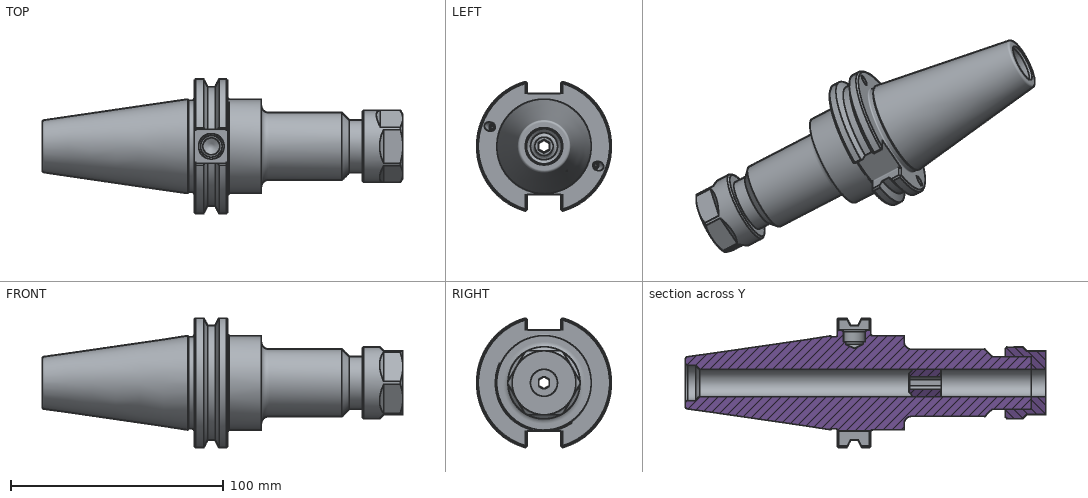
import cadquery as cq
import math


gauge_x = 68.5
gauge_radius = 22.3
taper_ratio = 7 / 24
tail_radius = gauge_radius - gauge_x * taper_ratio / 2
tail_fillet = 1.2
relief_chamfer = 0.5
relief_radius = gauge_radius - relief_chamfer
relief_start_x = gauge_x + relief_chamfer
root_fillet = 0.7

flange_front_x = 71.5
flange_back_x = 87.5
flange_radius = 31.8
flange_chamfer = 0.8
groove_center_x = 79.7
groove_floor_radius = 28.2
groove_floor_width = 3.5
groove_wall_run = 1.9

slot_width = 16.0
slot_chamfer = 0.8
slot_floor_fillet = 0.5
top_slot_floor = 25.0
bottom_slot_floor = 22.8

chip_diameter = 10.2
chip_depth = 5.6
chip_rim_diameter = 12.0
chip_drill_diameter = 8.0
chip_drill_depth = 6.8
drill_half_angle = 65

collar_radius = gauge_radius
collar_end_x = 103.3
barrel_radius = 16.0
barrel_fillet = 3.2
barrel_end_x = 141.2
nose_diameter = 25.0
nose_radius = nose_diameter / 2
nose_chamfer = barrel_radius - nose_radius
nose_end_x = 163.0

mouth_radius = 8.8
recess_diameter = 16.5
recess_radius = recess_diameter / 2
mouth_chamfer_depth = 1.2
recess_depth = 5.0
bore_diameter = 12.7
bore_radius = bore_diameter / 2
bore_start_x = 6.8

stop_start_x = 105.3
stop_length = 15.3
stop_shoulder_diameter = 10.7
stop_tip_diameter = 8.7
stop_shoulder_run = 0.5
stop_socket_width = 5.0
stop_socket_chamfer = 0.3

plug_circle_radius = 27.2
plug_angles = (20, 200)
plug_slant = 35
plug_diameter = 4.2
plug_recess = 2.2
plug_length = 6.0
plug_chamfer = 0.5
plug_socket_width = 2.0
plug_socket_depth = 2.5

nut_start_x = 150.7
nut_end_x = 169.9
nut_radius = 17.0
nut_back_chamfer = 0.8
nut_end_chamfer_depth = 1.2
flat_count = 6
hex_width = 30.0
hex_start_x = 160.9
long_flat_start_x = 159.3
long_flat_angle = -360 / flat_count
hex_runout = 2.0


def revolve_about_x(profile):
    """Turn a closed (x, radius) outline about the X axis."""
    return profile.close().revolve(360, (0, 0, 0), (1, 0, 0))


def hexagon_diameter(width_across_flats):
    return width_across_flats / math.cos(math.radians(30))


def plug_plane(angle):
    """Plane at a plug hole's mouth whose normal points down the slanted hole."""
    turn = math.radians(angle)
    slant = math.radians(plug_slant)
    outward = (math.cos(turn), math.sin(turn))
    origin = (flange_front_x, plug_circle_radius * outward[0], plug_circle_radius * outward[1])
    normal = (math.cos(slant), -math.sin(slant) * outward[0], -math.sin(slant) * outward[1])
    along_flange = (0, -outward[1], outward[0])
    return cq.Plane(origin=origin, xDir=along_flange, normal=normal)


def make_turned_body():
    """Solid outside shape of the holder, before any hole or slot."""
    half_floor = groove_floor_width / 2
    half_opening = half_floor + groove_wall_run
    fillet_mid = barrel_fillet * (1 - math.sqrt(0.5))
    root_mid = root_fillet * (1 - math.sqrt(0.5))
    taper = revolve_about_x(
        cq.Workplane("XY")
        .moveTo(0, 0)
        .lineTo(0, tail_radius)
        .lineTo(gauge_x, gauge_radius)
        .lineTo(gauge_x, 0)
    ).faces("<X").edges().fillet(tail_fillet)
    rest = revolve_about_x(
        cq.Workplane("XY")
        .moveTo(gauge_x, 0)
        .lineTo(gauge_x, gauge_radius)
        .lineTo(relief_start_x, relief_radius)
        .lineTo(flange_front_x - root_fillet, relief_radius)
        .threePointArc(
            (flange_front_x - root_mid, relief_radius + root_mid),
            (flange_front_x, relief_radius + root_fillet),
        )
        .lineTo(flange_front_x, flange_radius - flange_chamfer)
        .lineTo(flange_front_x + flange_chamfer, flange_radius)
        .lineTo(groove_center_x - half_opening, flange_radius)
        .lineTo(groove_center_x - half_floor, groove_floor_radius)
        .lineTo(groove_center_x + half_floor, groove_floor_radius)
        .lineTo(groove_center_x + half_opening, flange_radius)
        .lineTo(flange_back_x - flange_chamfer, flange_radius)
        .lineTo(flange_back_x, flange_radius - flange_chamfer)
        .lineTo(flange_back_x, collar_radius + root_fillet)
        .threePointArc(
            (flange_back_x + root_mid, collar_radius + root_mid),
            (flange_back_x + root_fillet, collar_radius),
        )
        .lineTo(collar_end_x, collar_radius)
        .lineTo(collar_end_x, barrel_radius + barrel_fillet)
        .threePointArc(
            (collar_end_x + fillet_mid, barrel_radius + fillet_mid),
            (collar_end_x + barrel_fillet, barrel_radius),
        )
        .lineTo(barrel_end_x, barrel_radius)
        .lineTo(barrel_end_x + nose_chamfer, nose_radius)
        .lineTo(nose_end_x, nose_radius)
        .lineTo(nose_end_x, 0)
    )
    return taper.union(rest)


def make_bore():
    return revolve_about_x(
        cq.Workplane("XY")
        .moveTo(0, 0)
        .lineTo(0, mouth_radius)
        .lineTo(mouth_chamfer_depth, recess_radius)
        .lineTo(recess_depth, recess_radius)
        .lineTo(bore_start_x, bore_radius)
        .lineTo(nose_end_x, bore_radius)
        .lineTo(nose_end_x, 0)
    )


def make_slot_cutter(floor_height, side):
    """Slot open away from the axis; side is +1 for the +Z slot and -1 for the -Z slot."""
    slot_length = flange_back_x - flange_front_x
    slot_height = flange_radius - floor_height
    middle_x = (flange_front_x + flange_back_x) / 2
    slot = cq.Workplane("XY").box(slot_length, slot_width, slot_height)
    floor_side = "<Z" if side > 0 else ">Z"
    slot = slot.faces(floor_side).edges("|X").fillet(slot_floor_fillet)
    slot = slot.translate((middle_x, 0, side * (floor_height + slot_height / 2)))
    half = slot_width / 2
    wide = half + slot_chamfer
    for face_x, inward in ((flange_front_x, 1), (flange_back_x, -1)):
        end_bevel = (
            cq.Workplane("XY")
            .workplane(offset=side * floor_height)
            .moveTo(face_x, -wide)
            .lineTo(face_x + inward * slot_chamfer, -half)
            .lineTo(face_x + inward * slot_chamfer, half)
            .lineTo(face_x, wide)
            .close()
            .extrude(side * slot_height)
        )
        slot = slot.union(end_bevel)
    rim_height = math.sqrt(flange_radius**2 - wide**2)
    rim_bevels = (
        cq.Workplane("YZ")
        .workplane(offset=flange_front_x)
        .moveTo(-half, side * (rim_height - slot_chamfer))
        .lineTo(-wide, side * rim_height)
        .lineTo(-wide, side * flange_radius)
        .lineTo(wide, side * flange_radius)
        .lineTo(wide, side * rim_height)
        .lineTo(half, side * (rim_height - slot_chamfer))
        .close()
        .extrude(slot_length)
    )
    return slot.union(rim_bevels)


def make_chip_hole():
    rim = chip_rim_diameter / 2
    seat = chip_diameter / 2
    drill = chip_drill_diameter / 2
    cone_height = drill / math.tan(math.radians(drill_half_angle))
    return (
        cq.Workplane("XZ")
        .moveTo(0, top_slot_floor)
        .lineTo(rim, top_slot_floor)
        .lineTo(seat, top_slot_floor - (rim - seat))
        .lineTo(seat, top_slot_floor - chip_depth)
        .lineTo(drill, top_slot_floor - chip_depth)
        .lineTo(drill, top_slot_floor - chip_drill_depth)
        .lineTo(0, top_slot_floor - chip_drill_depth - cone_height)
        .close()
        .revolve(360, (0, 0, 0), (0, 1, 0))
        .translate((groove_center_x, 0, 0))
    )


def make_plug_hole(angle):
    """Slanted blind hole, started ahead of the flange face so that it opens fully."""
    lead = plug_diameter / 2
    mouth = cq.Workplane(plug_plane(angle)).workplane(offset=-lead)
    return mouth.circle(plug_diameter / 2).extrude(lead + plug_recess + plug_length)


def make_holder():
    holder = make_turned_body().cut(make_bore())
    holder = holder.cut(make_slot_cutter(top_slot_floor, 1))
    holder = holder.cut(make_slot_cutter(bottom_slot_floor, -1))
    holder = holder.cut(make_chip_hole())
    for angle in plug_angles:
        holder = holder.cut(make_plug_hole(angle))
    return holder


def make_plug(angle):
    """Set screw with a hexagon socket in its outer end."""
    outer_end = cq.Workplane(plug_plane(angle)).workplane(offset=plug_recess)
    body = outer_end.circle(plug_diameter / 2).extrude(plug_length)
    body = body.edges("%CIRCLE").chamfer(plug_chamfer)
    socket = outer_end.polygon(6, hexagon_diameter(plug_socket_width)).extrude(plug_socket_depth)
    return body.cut(socket)


def make_stop_screw():
    """Screw that fills the bore, with a stepped cone at its tip and a hexagon through it."""
    tip_radius = stop_tip_diameter / 2
    shoulder_radius = stop_shoulder_diameter / 2
    shoulder_x = stop_start_x + (shoulder_radius - tip_radius)
    full_x = shoulder_x + stop_shoulder_run
    end_x = stop_start_x + stop_length
    body = revolve_about_x(
        cq.Workplane("XY")
        .moveTo(stop_start_x, 0)
        .lineTo(stop_start_x, tip_radius)
        .lineTo(shoulder_x, shoulder_radius)
        .lineTo(full_x, bore_radius)
        .lineTo(end_x, bore_radius)
        .lineTo(end_x, 0)
    )
    socket = (
        cq.Workplane("YZ")
        .workplane(offset=stop_start_x)
        .polygon(6, hexagon_diameter(stop_socket_width))
        .extrude(stop_length)
        .rotate((0, 0, 0), (1, 0, 0), 90)
    )
    return body.cut(socket).faces("<X").edges("%LINE").chamfer(stop_socket_chamfer)


def make_flat_cutter(angle, start_x):
    """Removes the metal outside one wrench flat, with a ramp where the flat starts."""
    flat_height = hex_width / 2
    cutter_height = flat_height + hex_runout
    cutter = (
        cq.Workplane("XZ")
        .moveTo(start_x, flat_height)
        .lineTo(nut_end_x, flat_height)
        .lineTo(nut_end_x, cutter_height)
        .lineTo(start_x - hex_runout, cutter_height)
        .close()
        .extrude(nut_radius, both=True)
    )
    return cutter.rotate((0, 0, 0), (1, 0, 0), angle)


def make_nut():
    nut = revolve_about_x(
        cq.Workplane("XY")
        .moveTo(nut_start_x, nose_radius)
        .lineTo(nut_start_x, nut_radius - nut_back_chamfer)
        .lineTo(nut_start_x + nut_back_chamfer, nut_radius)
        .lineTo(nut_end_x - nut_end_chamfer_depth, nut_radius)
        .lineTo(nut_end_x, hex_width / 2)
        .lineTo(nut_end_x, bore_radius)
        .lineTo(nose_end_x, bore_radius)
        .lineTo(nose_end_x, nose_radius)
    )
    for flat in range(flat_count):
        nut = nut.cut(make_flat_cutter(flat * 360 / flat_count, hex_start_x))
    nut = nut.cut(make_flat_cutter(long_flat_angle, long_flat_start_x))
    return nut


holder = make_holder()
nut = make_nut()
stop_screw = make_stop_screw()
plugs = [make_plug(angle) for angle in plug_angles]

result = cq.Compound.makeCompound(
    [holder.val(), nut.val(), stop_screw.val(), *[plug.val() for plug in plugs]]
)